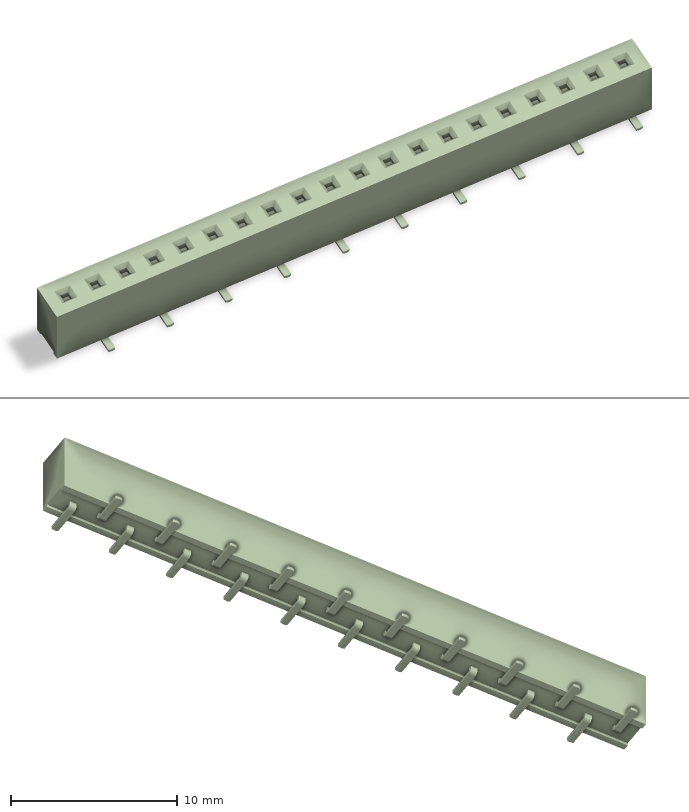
import cadquery as cq
import math

pin_count = 20
pitch = 2.0
end_margin = 1.3
overall_width = 4.3
overall_height = 4.3

body_width = 2.54
body_length = (pin_count - 1) * pitch + 2 * end_margin
body_bottom = 0.25

channel_width = 1.7
channel_depth = 0.2

mouth_size = 1.03
well_size = 0.53
funnel_depth = 0.25
well_depth = 0.4

strip_width = 0.46
strip_thickness = 0.2
inner_bend_radius = 0.1
outer_bend_radius = inner_bend_radius + strip_thickness
tip_radius = 0.6
blade_recess = 0.2

funnel_bottom = overall_height - funnel_depth
blade_top = funnel_bottom - blade_recess
foot_tip = overall_width / 2


def make_body():
    """Rectangular housing with a full-length channel in its underside."""
    base = cq.Workplane("XY", origin=(0, 0, body_bottom))
    block = base.rect(body_width, body_length).extrude(overall_height - body_bottom)
    channel = base.rect(channel_width, body_length).extrude(channel_depth)
    return block.cut(channel)


def make_socket():
    """Cutting volume of one socket, centred on the Z axis."""
    wall_inset = (mouth_size - well_size) / 2
    funnel_angle = math.degrees(math.atan2(wall_inset, funnel_depth))
    funnel = (
        cq.Workplane("XY", origin=(0, 0, overall_height))
        .rect(mouth_size, mouth_size)
        .extrude(-funnel_depth, taper=funnel_angle)
    )
    well = (
        cq.Workplane("XY", origin=(0, 0, funnel_bottom))
        .rect(well_size, well_size)
        .extrude(-well_depth)
    )
    return funnel.union(well)


def make_bent_strip():
    """Contact strip with a square tip: foot along +X, blade upright on the Z axis."""
    blade_half = strip_thickness / 2
    return (
        cq.Workplane("XZ", origin=(0, strip_width / 2, 0))
        .moveTo(foot_tip, 0)
        .lineTo(foot_tip, strip_thickness)
        .lineTo(blade_half + inner_bend_radius, strip_thickness)
        .radiusArc((blade_half, outer_bend_radius), inner_bend_radius)
        .lineTo(blade_half, blade_top)
        .lineTo(-blade_half, blade_top)
        .lineTo(-blade_half, outer_bend_radius)
        .radiusArc((outer_bend_radius - blade_half, 0), -outer_bend_radius)
        .close()
        .extrude(strip_width)
    )


def make_contact():
    """Contact whose foot tip is rounded, as seen from above."""
    tip_center = foot_tip - tip_radius
    tip_round = cq.Workplane("XY").center(tip_center, 0).circle(tip_radius).extrude(strip_thickness)
    square_end = (
        cq.Workplane("XY")
        .center(tip_center + tip_radius / 2, 0)
        .rect(tip_radius, strip_width)
        .extrude(strip_thickness)
    )
    return make_bent_strip().cut(square_end.cut(tip_round))


pin_positions = [((pin_count - 1) / 2 - i) * pitch for i in range(pin_count)]

result = make_body()
socket = make_socket()
for y in pin_positions:
    result = result.cut(socket.translate((0, y, 0)))

foot_right = make_contact()
foot_left = foot_right.rotate((0, 0, 0), (0, 0, 1), 180)
for i, y in enumerate(pin_positions):
    contact = foot_right if i % 2 == 0 else foot_left
    result = result.union(contact.translate((0, y, 0)))